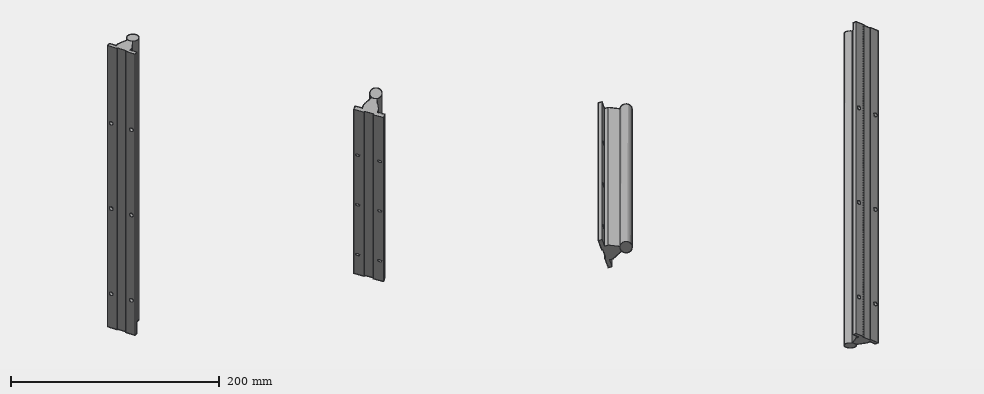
import cadquery as cq
import math

LENGTH = 330.0
BASE_WIDTH = 30.0
FLANGE_THICKNESS = 4.0
WEB_WIDTH = 15.2
SHOULDER_HEIGHT = 7.5
SADDLE_WIDTH = 5.3
GROOVE_WIDTH = 9.0
GROOVE_DEPTH = 1.0

OVERALL_HEIGHT = 29.0
SHAFT_RADIUS = 6.0
SHAFT_CENTER_Y = OVERALL_HEIGHT - SHAFT_RADIUS

HOLE_DIAMETER = 4.0
HOLE_ROW_SPACING = 22.0
HOLE_PITCH = 100.0
FIRST_HOLE_Z = 40.0
HOLES_PER_ROW = 3


def make_shaft():
    return cq.Workplane("XY").center(0, SHAFT_CENTER_Y).circle(SHAFT_RADIUS).extrude(LENGTH)


def make_rail_profile():
    """Flanged base with a tapered web, ending in an arc that fits the shaft."""
    base_x = BASE_WIDTH / 2
    web_x = WEB_WIDTH / 2
    saddle_x = SADDLE_WIDTH / 2
    groove_x = GROOVE_WIDTH / 2
    saddle_y = SHAFT_CENTER_Y - math.sqrt(SHAFT_RADIUS**2 - saddle_x**2)
    return (
        cq.Workplane("XY")
        .moveTo(groove_x, 0)
        .lineTo(base_x, 0)
        .lineTo(base_x, FLANGE_THICKNESS)
        .lineTo(web_x, FLANGE_THICKNESS)
        .lineTo(web_x, SHOULDER_HEIGHT)
        .lineTo(saddle_x, saddle_y)
        .threePointArc((0, SHAFT_CENTER_Y - SHAFT_RADIUS), (-saddle_x, saddle_y))
        .lineTo(-web_x, SHOULDER_HEIGHT)
        .lineTo(-web_x, FLANGE_THICKNESS)
        .lineTo(-base_x, FLANGE_THICKNESS)
        .lineTo(-base_x, 0)
        .lineTo(-groove_x, 0)
        .lineTo(-groove_x, GROOVE_DEPTH)
        .lineTo(groove_x, GROOVE_DEPTH)
        .close()
    )


def make_mounting_holes():
    """Cylinders along Y, in one row on each flange."""
    centers = [
        (side * HOLE_ROW_SPACING / 2, FIRST_HOLE_Z + index * HOLE_PITCH)
        for side in (-1, 1)
        for index in range(HOLES_PER_ROW)
    ]
    return cq.Workplane("XZ").pushPoints(centers).circle(HOLE_DIAMETER / 2).extrude(-FLANGE_THICKNESS)


def make_rail():
    return make_rail_profile().extrude(LENGTH).cut(make_mounting_holes())


shaft = make_shaft()
rail = make_rail()

result = cq.Compound.makeCompound([shaft.val(), rail.val()])